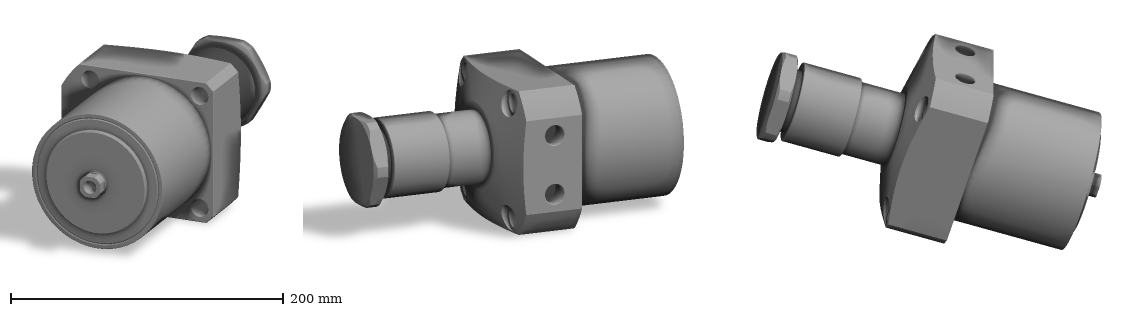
import cadquery as cq
import math


flange_left = 67.0
flange_right = 55.0
flange_height = 110.0
flange_depth = 56.0
flange_turn_radius = 76.0
corner_chamfer = 6.0
edge_chamfer = 0.6
back_cone_start_radius = 33.5
back_cone_angle = 15.0

bolt_circle_diameter = 124.0
bolt_hole_diameter = 14.0
spotface_diameter = 20.0
spotface_depth = 10.5

port_diameter = 15.0
port_chamfer = 0.5
port_depth = 16.0
port_spacing = 45.0
port_y = 21.9

barrel_diameter = 105.0
barrel_length = 87.6
barrel_chamfer = 0.3

cover_diameter = 97.5
cover_seat_depth = 10.0
seam_chamfer = 0.75
cover_boss_diameter = 80.5
cover_boss_height = 3.4
cover_boss_chamfer = 1.0

rod_diameter = 20.0
rod_tip_diameter = 17.5
rod_across_flats = 16.0
rod_projection = 10.2
rod_shoulder_length = 2.2
rod_thread_diameter = 10.2
rod_thread_depth = 15.0

column_diameter = 55.0
column_length = 33.8
collar_diameter = 60.0
collar_length = 44.2
collar_chamfer = 0.4
plug_groove_diameter = 46.7
plug_groove_length = 3.0
plug_neck_diameter = 48.0
plug_neck_length = 3.0
hex_across_flats = 65.0
hex_turn_diameter = 71.0
hex_height = 11.8
hex_chamfer_angle = 30.0
hex_chamfer_diameter = 65.0

barrel_front_y = -barrel_length
cover_back_y = barrel_front_y + cover_seat_depth
cover_front_y = barrel_front_y - cover_boss_height
rod_tip_y = cover_front_y - rod_projection
column_end_y = flange_depth + column_length
collar_end_y = column_end_y + collar_length
plug_neck_y = collar_end_y + plug_groove_length
hex_start_y = plug_neck_y + plug_neck_length


def cylinder(diameter, start_y, end_y):
    """Solid cylinder on the Y axis."""
    section = cq.Workplane("XZ", origin=(0, start_y, 0)).circle(diameter / 2)
    return section.extrude(start_y - end_y)


def turned(profile):
    """Solid of revolution about the Y axis from (radius, y) points."""
    return cq.Workplane("XY").polyline(profile).close().revolve(360, (0, 0, 0), (0, 1, 0))


def make_flange():
    width = flange_left + flange_right
    block = (
        cq.Workplane("XY")
        .box(width, flange_depth, flange_height)
        .translate(((flange_right - flange_left) / 2, flange_depth / 2, 0))
        .edges("|Y and >X")
        .chamfer(corner_chamfer)
        .faces("<Y")
        .chamfer(edge_chamfer)
    )
    cone_drop = (flange_turn_radius - back_cone_start_radius) * math.tan(math.radians(back_cone_angle))
    envelope = turned([
        (0, 0),
        (flange_turn_radius, 0),
        (flange_turn_radius, flange_depth - cone_drop),
        (back_cone_start_radius, flange_depth),
        (0, flange_depth),
    ])
    return block.intersect(envelope)


def make_housing():
    barrel = cylinder(barrel_diameter, 0, barrel_front_y).faces("<Y").chamfer(barrel_chamfer)
    body = make_flange().union(barrel)

    body = body.cut(cylinder(cover_diameter, barrel_front_y, cover_back_y))
    seat_radius = cover_diameter / 2
    body = body.cut(turned([
        (0, barrel_front_y),
        (seat_radius + seam_chamfer, barrel_front_y),
        (seat_radius, barrel_front_y + seam_chamfer),
        (0, barrel_front_y + seam_chamfer),
    ]))

    bolt_offset = bolt_circle_diameter / 2 * math.sin(math.radians(45))
    for side_x in (-1, 1):
        for side_z in (-1, 1):
            place = (side_x * bolt_offset, 0, side_z * bolt_offset)
            body = body.cut(cylinder(bolt_hole_diameter, 0, flange_depth).translate(place))
            spotface = cylinder(spotface_diameter, flange_depth - spotface_depth, flange_depth)
            body = body.cut(spotface.translate(place))

    port_radius = port_diameter / 2
    for side_z in (-1, 1):
        port = (
            cq.Workplane("XY")
            .polyline([
                (0, 0),
                (0, port_radius + port_chamfer),
                (port_chamfer, port_radius),
                (port_depth, port_radius),
                (port_depth, 0),
            ])
            .close()
            .revolve(360, (0, 0, 0), (1, 0, 0))
        )
        body = body.cut(port.translate((-flange_left, port_y, side_z * port_spacing / 2)))
    return body


def make_cover():
    boss = (
        cylinder(cover_boss_diameter, barrel_front_y, cover_front_y)
        .faces("<Y")
        .chamfer(cover_boss_chamfer)
    )
    disc = (
        cylinder(cover_diameter, cover_back_y, barrel_front_y)
        .faces("<Y")
        .chamfer(seam_chamfer)
    )
    return disc.union(boss).cut(cylinder(rod_diameter, cover_back_y, cover_front_y))


def make_rod():
    rod_radius = rod_diameter / 2
    tip_radius = rod_tip_diameter / 2
    rod = turned([
        (0, cover_back_y),
        (rod_radius, cover_back_y),
        (rod_radius, cover_front_y + rod_radius - tip_radius),
        (tip_radius, cover_front_y),
        (tip_radius, rod_tip_y),
        (0, rod_tip_y),
    ])

    flats_y = cover_front_y - rod_shoulder_length
    flats_length = flats_y - rod_tip_y
    wrench_square = (
        cq.Workplane("XY")
        .box(rod_across_flats, flats_length, rod_across_flats)
        .translate((0, rod_tip_y + flats_length / 2, 0))
    )
    rod = rod.cut(cylinder(rod_diameter, flats_y, rod_tip_y).cut(wrench_square))

    return rod.cut(cylinder(rod_thread_diameter, rod_tip_y, rod_tip_y + rod_thread_depth))


def make_column():
    return cylinder(column_diameter, flange_depth, column_end_y)


def make_collar():
    collar = cylinder(collar_diameter, column_end_y, collar_end_y)
    return collar.faces("<Y or >Y").chamfer(collar_chamfer)


def make_plug():
    hexagon = (
        cq.Workplane("XZ", origin=(0, hex_start_y, 0))
        .polygon(6, hex_across_flats, circumscribed=True)
        .extrude(-hex_height)
        .rotate((0, 0, 0), (0, 1, 0), 30)
    )
    turn_radius = hex_turn_diameter / 2
    face_radius = hex_chamfer_diameter / 2
    chamfer_height = (turn_radius - face_radius) * math.tan(math.radians(hex_chamfer_angle))
    hex_end_y = hex_start_y + hex_height
    head = hexagon.intersect(turned([
        (0, hex_start_y),
        (face_radius, hex_start_y),
        (turn_radius, hex_start_y + chamfer_height),
        (turn_radius, hex_end_y - chamfer_height),
        (face_radius, hex_end_y),
        (0, hex_end_y),
    ]))

    groove = cylinder(plug_groove_diameter, collar_end_y, plug_neck_y)
    neck = cylinder(plug_neck_diameter, plug_neck_y, hex_start_y)
    return head.union(neck).union(groove)


housing = make_housing()
cover = make_cover()
rod = make_rod()
column = make_column()
collar = make_collar()
plug = make_plug()

result = cq.Compound.makeCompound([
    housing.val(),
    cover.val(),
    rod.val(),
    column.val(),
    collar.val(),
    plug.val(),
])